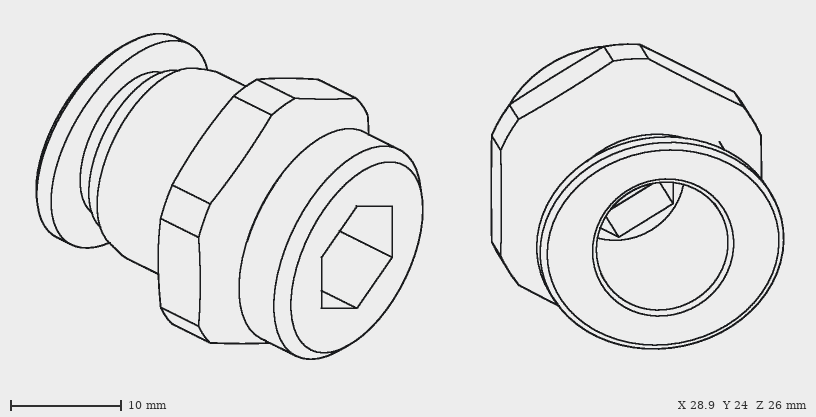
import cadquery as cq
import math

LENGTH = 28.9
FLANGE_END = 2.23
NECK_END = 4.0
COLLAR_END = 5.75
BODY_TAPER_END = 7.3
HEX_START = 15.43
HEX_END = 20.43
THREAD_START = 22.92
THREAD_TAPER_END = 23.7

NECK_RADIUS = 7.1
COLLAR_RADIUS = 8.0
BODY_RADIUS = 9.4
BODY_TIP_RADIUS = 8.95
RELIEF_RADIUS = 9.07
THREAD_RADIUS = 10.45
THREAD_CHAMFER = 1.1
BODY_FILLET = 0.52
RELIEF_FILLET = 0.4

FLANGE_WIDTH = 22.45
FLANGE_HEIGHT = 19.6
FLANGE_CHAMFER = 0.55

HEX_ACROSS_FLATS = 24.0
HEX_CORNER_DIAMETER = 26.0
HEX_FACE_RADIUS = 11.95
HEX_FRONT_BEVEL = 0.32
HEX_BACK_BEVEL = 0.2

BORE_RADIUS = 6.07
BORE_CHAMFER = 0.43
BORE_DEPTH = 21.68
SOCKET_ACROSS_FLATS = 10.0


def revolve_about_x(profile):
    """Revolve a closed (x, radius) profile about the X axis."""
    return profile.close().revolve(360, (0, 0, 0), (1, 0, 0))


def hexagon_prism(start, end, across_flats):
    """Hexagonal prism along X with two flats facing +Y and -Y."""
    corner_diameter = across_flats / math.cos(math.radians(30))
    return (
        cq.Workplane("YZ", origin=(start, 0, 0))
        .transformed(rotate=(0, 0, 90))
        .polygon(6, corner_diameter)
        .extrude(end - start)
    )


def make_barrel():
    """Round sections from the flange neck to the threaded end."""
    mid_offset = 1 - math.sqrt(0.5)
    body_fillet_mid = (
        HEX_START - BODY_FILLET * mid_offset,
        BODY_RADIUS + BODY_FILLET * mid_offset,
    )
    relief_fillet_mid = (
        HEX_END + RELIEF_FILLET * mid_offset,
        RELIEF_RADIUS + RELIEF_FILLET * mid_offset,
    )
    profile = (
        cq.Workplane("XY")
        .moveTo(0, 0)
        .lineTo(0, NECK_RADIUS)
        .lineTo(NECK_END, NECK_RADIUS)
        .lineTo(NECK_END, COLLAR_RADIUS)
        .lineTo(COLLAR_END, COLLAR_RADIUS)
        .lineTo(COLLAR_END, BODY_TIP_RADIUS)
        .lineTo(BODY_TAPER_END, BODY_RADIUS)
        .lineTo(HEX_START - BODY_FILLET, BODY_RADIUS)
        .threePointArc(body_fillet_mid, (HEX_START, BODY_RADIUS + BODY_FILLET))
        .lineTo(HEX_END, RELIEF_RADIUS + RELIEF_FILLET)
        .threePointArc(relief_fillet_mid, (HEX_END + RELIEF_FILLET, RELIEF_RADIUS))
        .lineTo(THREAD_START, RELIEF_RADIUS)
        .lineTo(THREAD_TAPER_END, THREAD_RADIUS)
        .lineTo(LENGTH - THREAD_CHAMFER, THREAD_RADIUS)
        .lineTo(LENGTH, THREAD_RADIUS - THREAD_CHAMFER)
        .lineTo(LENGTH, 0)
    )
    return revolve_about_x(profile)


def make_flange():
    """Oval flange at the tube end, chamfered around its outer face."""
    return (
        cq.Workplane("YZ")
        .ellipse(FLANGE_WIDTH / 2, FLANGE_HEIGHT / 2)
        .extrude(FLANGE_END)
        .faces("<X")
        .chamfer(FLANGE_CHAMFER)
    )


def make_hexagon():
    """Wrench hexagon with rounded corners and a conical bevel on both faces."""
    corner_radius = HEX_CORNER_DIAMETER / 2
    envelope = revolve_about_x(
        cq.Workplane("XY")
        .moveTo(HEX_START, 0)
        .lineTo(HEX_START, HEX_FACE_RADIUS)
        .lineTo(HEX_START + HEX_FRONT_BEVEL, corner_radius)
        .lineTo(HEX_END - HEX_BACK_BEVEL, corner_radius)
        .lineTo(HEX_END, HEX_FACE_RADIUS)
        .lineTo(HEX_END, 0)
    )
    return hexagon_prism(HEX_START, HEX_END, HEX_ACROSS_FLATS).intersect(envelope)


def make_bore():
    """Blind tube bore with a chamfered mouth."""
    return revolve_about_x(
        cq.Workplane("XY")
        .moveTo(0, 0)
        .lineTo(0, BORE_RADIUS + BORE_CHAMFER)
        .lineTo(BORE_CHAMFER, BORE_RADIUS)
        .lineTo(BORE_DEPTH, BORE_RADIUS)
        .lineTo(BORE_DEPTH, 0)
    )


outside = make_barrel().union(make_flange()).union(make_hexagon())
socket = hexagon_prism(0, LENGTH, SOCKET_ACROSS_FLATS)
result = outside.cut(make_bore()).cut(socket)